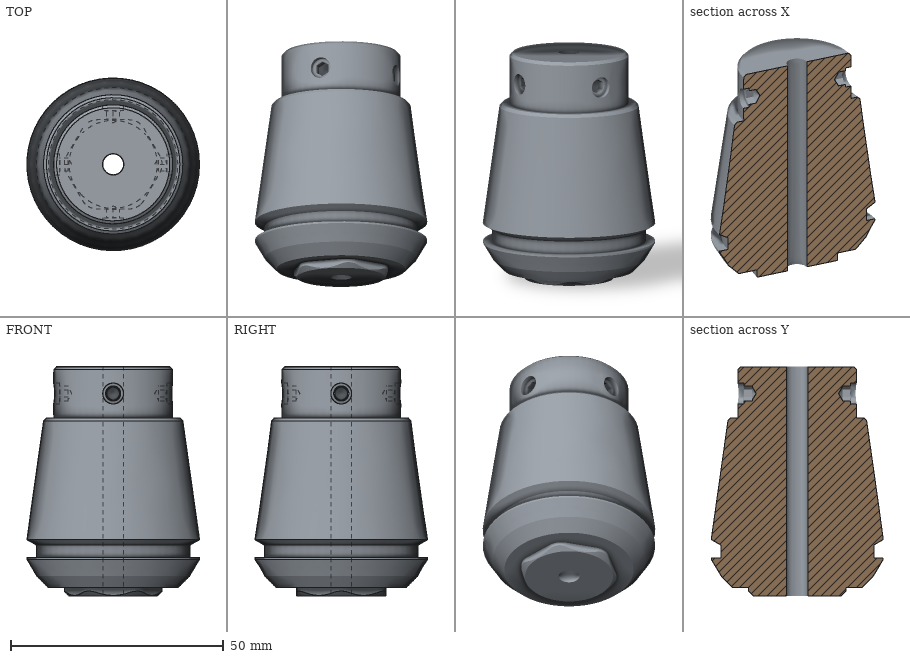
import cadquery as cq
import math

total_height = 54.0
body_diameter = 40.65

neck_radius = 28.0 / 2
shoulder_z = 41.95
edge_chamfer = 0.7

taper_angle = 8.0
taper_bottom_z = 13.3

groove_radius = 36.2 / 2
groove_bottom_z = 9.0
undercut_angle = 30.0

rim_radius = 40.55 / 2
rim_height = 0.45
cone_break_radius = 17.95
cone_break_z = 4.65
nut_bottom_z = 1.95

hex_across_flats = 21.0
hex_corner_fillet = 4.0
hex_end_radius = 10.35
hex_chamfer_angle = 45.0

bore_diameter = 4.9
screw_hole_diameter = 4.9
screw_z = 47.7
screw_count = 4
screw_face_radius = 12.65
socket_across_flats = 3.0
socket_depth = 2.0
socket_lead_in_radius = 1.8
drill_point_angle = 120.0
socket_turn = 30.0

hex_corner_ratio = 1 / math.cos(math.radians(30))


def make_body():
    """Turned outer shape from the nut's lower face up to the neck."""
    body_radius = body_diameter / 2
    taper_top_z = shoulder_z - edge_chamfer
    taper_height = taper_top_z - taper_bottom_z
    shoulder_radius = body_radius - taper_height * math.tan(math.radians(taper_angle))
    undercut_height = (body_radius - groove_radius) * math.tan(math.radians(undercut_angle))
    profile = [
        (0, nut_bottom_z),
        (cone_break_radius - (cone_break_z - nut_bottom_z), nut_bottom_z),
        (cone_break_radius, cone_break_z),
        (rim_radius, groove_bottom_z - rim_height),
        (rim_radius, groove_bottom_z),
        (groove_radius, groove_bottom_z),
        (groove_radius, taper_bottom_z - undercut_height),
        (body_radius, taper_bottom_z),
        (shoulder_radius, taper_top_z),
        (shoulder_radius - edge_chamfer, shoulder_z),
        (neck_radius, shoulder_z),
        (neck_radius, total_height - edge_chamfer),
        (neck_radius - edge_chamfer, total_height),
        (0, total_height),
    ]
    return cq.Workplane("XZ").polyline(profile).close().revolve(360, (0, 0), (0, 1))


def make_hex_head():
    """Hexagon with flats facing +Y and -Y, rounded corners and a conical lower chamfer."""
    head = (
        cq.Workplane("XY")
        .polygon(6, hex_across_flats * hex_corner_ratio)
        .extrude(nut_bottom_z)
        .edges("|Z")
        .fillet(hex_corner_fillet)
    )
    top_radius = hex_end_radius + nut_bottom_z * math.tan(math.radians(hex_chamfer_angle))
    cone_profile = [(0, 0), (hex_end_radius, 0), (top_radius, nut_bottom_z), (0, nut_bottom_z)]
    cone = cq.Workplane("XZ").polyline(cone_profile).close().revolve(360, (0, 0), (0, 1))
    return head.intersect(cone)


def make_screw_recess():
    """Cavity on the -Y side: open hole, then the hexagon socket of a set screw ending in a drill point."""
    socket_radius = socket_across_flats / 2
    drill_slope = math.tan(math.radians(drill_point_angle / 2))
    lead_in_depth = socket_lead_in_radius / drill_slope
    point_depth = socket_depth + socket_radius / drill_slope

    screw_face = cq.Workplane("XZ", origin=(0, -screw_face_radius, screw_z))
    hole = screw_face.circle(screw_hole_diameter / 2).extrude(neck_radius - screw_face_radius)
    socket = (
        screw_face.transformed(rotate=(0, 0, socket_turn))
        .polygon(6, socket_across_flats * hex_corner_ratio)
        .extrude(-socket_depth)
    )

    half_section = cq.Workplane("XY", origin=(0, -screw_face_radius, screw_z))
    lead_in = (
        half_section.polyline([(0, 0), (socket_lead_in_radius, 0), (0, lead_in_depth)])
        .close()
        .revolve(360, (0, 0), (0, 1))
    )
    drill_point = (
        half_section.polyline([(0, 0), (socket_radius, 0), (socket_radius, socket_depth), (0, point_depth)])
        .close()
        .revolve(360, (0, 0), (0, 1))
    )
    return hole.union(lead_in).union(socket).union(drill_point)


result = make_body().union(make_hex_head())
result = result.cut(cq.Workplane("XY").circle(bore_diameter / 2).extrude(total_height))

screw_recess = make_screw_recess()
for index in range(screw_count):
    angle = index * 360 / screw_count
    result = result.cut(screw_recess.rotate((0, 0, 0), (0, 0, 1), angle))